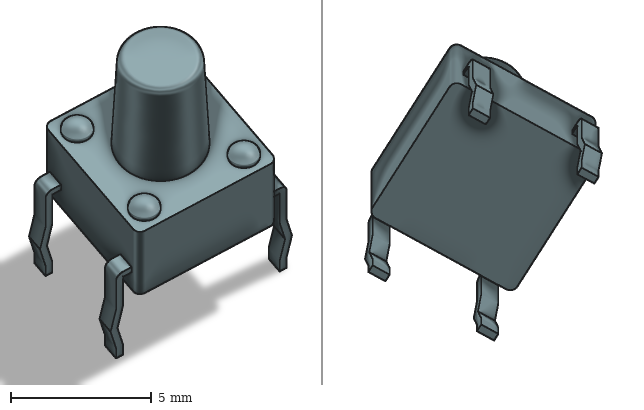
import cadquery as cq

body_width = 5.99
body_height = 3.6
body_corner_radius = 0.3
total_height = 12.01
body_bottom = 3.51
body_top = body_bottom + body_height

button_base_radius = 1.75
button_top_radius = 1.55
button_edge_radius = 0.3

rivet_radius = 0.59
rivet_dome_radius = 0.53
rivet_rim_height = 0.07
rivet_shoulder_height = 0.16
rivet_height = 0.31
rivet_offset = 2.14

leg_width = 0.71
leg_thickness = 0.3
leg_offset = 2.25
leg_top = 4.8
leg_outer_y = 3.66
leg_kink_y = 7.8 / 2
leg_bend_radius = 0.31
kink_start = 2.82
kink_middle = 1.7
kink_end = 0.6


def make_body():
    block = cq.Workplane("XY").workplane(offset=body_bottom).rect(body_width, body_width).extrude(body_height)
    return block.edges("|Z").fillet(body_corner_radius)


def make_button():
    profile = (
        cq.Workplane("XZ")
        .moveTo(0, body_top)
        .lineTo(button_base_radius, body_top)
        .lineTo(button_top_radius, total_height)
        .lineTo(0, total_height)
        .close()
    )
    button = profile.revolve(360, (0, 0, 0), (0, 1, 0))
    return button.faces(">Z").edges().fillet(button_edge_radius)


def make_rivet():
    """Rivet head on the Z axis: short rim, rounded shoulder, shallow dome."""
    rim_top = body_top + rivet_rim_height
    shoulder_top = body_top + rivet_shoulder_height
    crown = body_top + rivet_height
    dome_rise = rivet_height - rivet_shoulder_height
    sphere_radius = (rivet_dome_radius**2 + dome_rise**2) / (2 * dome_rise)
    profile = (
        cq.Workplane("XZ")
        .moveTo(0, body_top)
        .lineTo(rivet_radius, body_top)
        .lineTo(rivet_radius, rim_top)
        .tangentArcPoint((rivet_dome_radius, shoulder_top), relative=False)
        .radiusArc((0, crown), -sphere_radius)
        .close()
    )
    return profile.revolve(360, (0, 0, 0), (0, 1, 0))


def make_leg():
    """Leg on the +Y side, centred on X = 0, starting flush with the housing wall."""
    wall_y = body_width / 2
    inner_y = leg_outer_y - leg_thickness
    inner_kink_y = leg_kink_y - leg_thickness
    profile = (
        cq.Workplane("YZ")
        .moveTo(wall_y, leg_top)
        .lineTo(leg_outer_y - leg_bend_radius, leg_top)
        .tangentArcPoint((leg_outer_y, leg_top - leg_bend_radius), relative=False)
        .lineTo(leg_outer_y, kink_start)
        .lineTo(leg_kink_y, kink_middle)
        .lineTo(leg_outer_y, kink_end)
        .lineTo(leg_outer_y, 0)
        .lineTo(inner_y, 0)
        .lineTo(inner_y, kink_end)
        .lineTo(inner_kink_y, kink_middle)
        .lineTo(inner_y, kink_start)
        .lineTo(inner_y, leg_top - leg_thickness)
        .lineTo(wall_y, leg_top - leg_thickness)
        .close()
    )
    return profile.extrude(leg_width / 2, both=True)


result = make_body().union(make_button())
rivet = make_rivet()
leg = make_leg()
opposite_leg = leg.mirror("XZ")

for side_x in (-1, 1):
    result = result.union(leg.translate((side_x * leg_offset, 0, 0)))
    result = result.union(opposite_leg.translate((side_x * leg_offset, 0, 0)))
    for side_y in (-1, 1):
        result = result.union(rivet.translate((side_x * rivet_offset, side_y * rivet_offset, 0)))